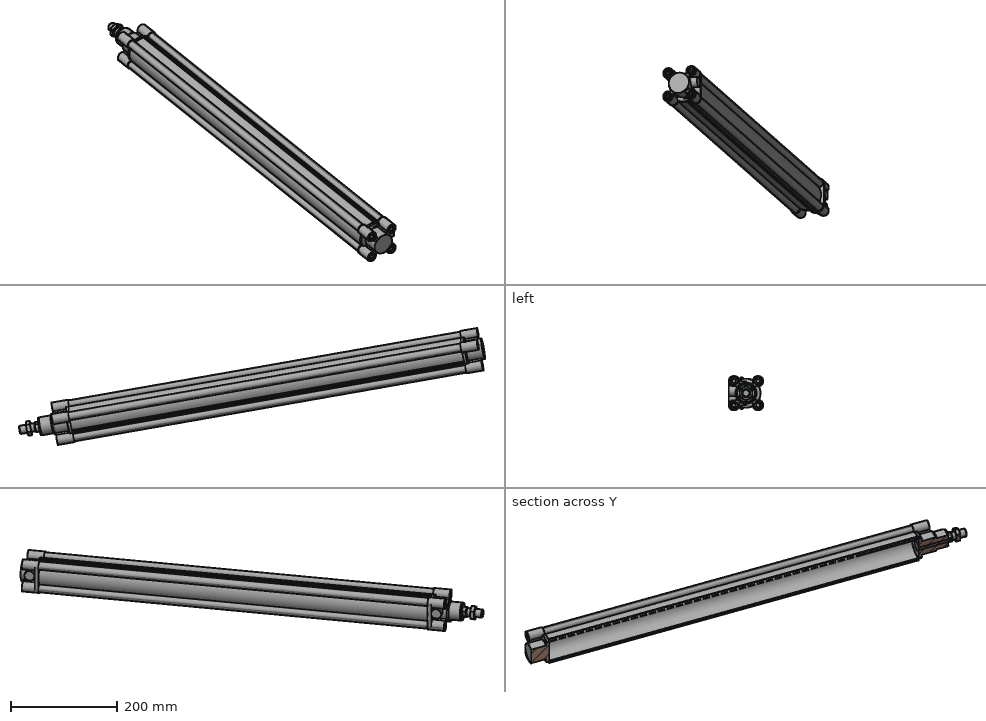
import cadquery as cq
import math

total_length = 889.0
square_side = 65.0
half_side = square_side / 2

thread_diameter = 16.0
rod_diameter = 20.0
thread_length = 29.0
thread_chamfer = 2.0
rod_chamfer = (rod_diameter - thread_diameter) / 2
wrench_flat_width = 17.0
wrench_flat_start = 32.0
wrench_flat_length = 4.5

nut_start = 14.0
nut_thickness = 8.0
nut_sides = 6
nut_across_flats = 24.0
nut_chamfer_angle = 30

cap_length = 32.0
front_cap_start = 68.0
rear_pilot_length = 5.0
front_cap_end = front_cap_start + cap_length
rear_cap_end = total_length - rear_pilot_length
rear_cap_start = rear_cap_end - cap_length
post_diameter = 20.0
post_offset = half_side - post_diameter / 2
hub_diameter = 40.0
hub_length = 25.0
web_width = 9.0
flange_diameter = 55.0
flange_slope_height = 2.0
flange_face = hub_length + flange_slope_height
collar_diameter = 35.0
collar_start = 38.0
collar_taper_length = 3.0
collar_taper_depth = 1.0
pilot_start = 62.0
pilot_chamfer = (hub_diameter - collar_diameter) / 2
boss_diameter = 20.0
boss_offset_z = 4.5
boss_offset_x = 15.0
screw_recess_diameter = 14.0
screw_recess_depth = 1.0
screw_hole_diameter = 7.4
screw_hole_depth = 13.0

barrel_diameter = flange_diameter
bore_diameter = 50.0
lobe_side = 31.0
lobe_corner_radius = 8.45
lobe_flank_radius = 7.0
rail_foot = (4.0, 26.0)
rail_ridge = (7.0, 30.0)
rail_tip = (11.0, 29.0)
rail_wall = 1.3


def cylinder(start, length, diameter):
    """Solid cylinder on the X axis."""
    return cq.Workplane("YZ").workplane(offset=start).circle(diameter / 2).extrude(length)


def corner_points(offset):
    return [(y * offset, z * offset) for y in (-1, 1) for z in (-1, 1)]


def make_rod():
    thread = cylinder(0, thread_length, thread_diameter).faces("<X").chamfer(thread_chamfer)
    shank = cylinder(thread_length, front_cap_end - thread_length, rod_diameter)
    shank = shank.faces("<X").chamfer(rod_chamfer)
    for side in (-1, 1):
        flat = cq.Workplane("XY").box(wrench_flat_length, rod_diameter, rod_diameter).translate((
            wrench_flat_start + wrench_flat_length / 2,
            side * (wrench_flat_width + rod_diameter) / 2,
            0,
        ))
        shank = shank.cut(flat)
    return thread.union(shank)


def make_nut():
    across_corners = nut_across_flats / math.cos(math.pi / nut_sides)
    corner_drop = (across_corners - nut_across_flats) / 2 * math.tan(math.radians(nut_chamfer_angle))
    hexagon = (
        cq.Workplane("YZ").workplane(offset=nut_start)
        .polygon(nut_sides, across_corners).extrude(nut_thickness)
        .rotate((0, 0, 0), (1, 0, 0), 90)
    )
    blank = (
        cq.Workplane("XY").moveTo(nut_start, 0)
        .lineTo(nut_start, nut_across_flats / 2)
        .lineTo(nut_start + corner_drop, across_corners / 2)
        .lineTo(nut_start + nut_thickness - corner_drop, across_corners / 2)
        .lineTo(nut_start + nut_thickness, nut_across_flats / 2)
        .lineTo(nut_start + nut_thickness, 0)
        .close().revolve(360, (0, 0, 0), (1, 0, 0))
    )
    return hexagon.intersect(blank).cut(cylinder(nut_start, nut_thickness, thread_diameter))


def make_cap_block():
    """Cap with its outer face at x = 0 and its barrel face at x = cap_length."""
    turned = (
        cq.Workplane("XY").moveTo(0, 0)
        .lineTo(0, hub_diameter / 2)
        .lineTo(hub_length, hub_diameter / 2)
        .lineTo(flange_face, flange_diameter / 2)
        .lineTo(cap_length, flange_diameter / 2)
        .lineTo(cap_length, 0)
        .close().revolve(360, (0, 0, 0), (1, 0, 0))
    )
    side_plate = (
        cq.Workplane("XY")
        .box(cap_length - hub_length, half_side, 2 * post_offset, centered=(False, False, True))
        .translate((hub_length, 0, 0))
    )
    web = cq.Workplane("XY").box(
        cap_length, 2 * math.sqrt(2) * post_offset, web_width, centered=(False, True, True)
    )
    webs = web.rotate((0, 0, 0), (1, 0, 0), 45).union(web.rotate((0, 0, 0), (1, 0, 0), -45))
    posts = (
        cq.Workplane("YZ").pushPoints(corner_points(post_offset))
        .circle(post_diameter / 2).extrude(cap_length)
    )
    boss = (
        cq.Workplane("XZ").center(boss_offset_x, boss_offset_z)
        .circle(boss_diameter / 2).extrude(-half_side)
    )
    block = turned.union(side_plate).union(webs).union(posts).union(boss)
    recesses = (
        cq.Workplane("YZ").pushPoints(corner_points(post_offset))
        .circle(screw_recess_diameter / 2).extrude(screw_recess_depth)
    )
    holes = (
        cq.Workplane("YZ").pushPoints(corner_points(post_offset))
        .circle(screw_hole_diameter / 2).extrude(screw_hole_depth)
    )
    return block.cut(recesses).cut(holes)


def make_front_cap():
    block = make_cap_block().translate((front_cap_start, 0, 0))
    pilot = cylinder(pilot_start, front_cap_start - pilot_start, hub_diameter)
    pilot = pilot.faces("<X").chamfer(pilot_chamfer)
    collar = cylinder(collar_start, front_cap_start - collar_start, collar_diameter)
    collar = collar.faces("<X").edges().chamfer(collar_taper_length, collar_taper_depth)
    rod_bore = cylinder(collar_start, front_cap_end - collar_start, rod_diameter)
    return block.union(pilot).union(collar).cut(rod_bore)


def make_rear_cap():
    block = make_cap_block().mirror("YZ").translate((rear_cap_end, 0, 0))
    pilot = cylinder(rear_cap_end, rear_pilot_length, hub_diameter)
    return block.union(pilot)


def make_barrel():
    length = rear_cap_start - front_cap_end
    diagonal = math.sqrt(0.5)
    section = cq.Workplane("YZ").workplane(offset=front_cap_end)
    barrel = section.circle(barrel_diameter / 2).extrude(length)
    corner_center = lobe_side - lobe_corner_radius
    corner_middle = corner_center + lobe_corner_radius * diagonal
    flank_center = lobe_side - lobe_flank_radius
    flank_foot = corner_center - lobe_flank_radius
    flank_out = flank_center + lobe_flank_radius * diagonal
    flank_in = corner_center - lobe_flank_radius * diagonal
    lobe = (
        section.moveTo(flank_foot, flank_foot)
        .lineTo(flank_center, flank_foot)
        .threePointArc((flank_out, flank_in), (lobe_side, corner_center))
        .threePointArc((corner_middle, corner_middle), (corner_center, lobe_side))
        .threePointArc((flank_in, flank_out), (flank_foot, flank_center))
        .close().extrude(length)
    )
    for corner in range(4):
        barrel = barrel.union(lobe.rotate((0, 0, 0), (1, 0, 0), 90 * corner))
    foot_y, foot_z = rail_foot
    ridge_y, ridge_z = rail_ridge
    tip_y, tip_z = rail_tip
    rail = (
        section.moveTo(foot_y, foot_z)
        .lineTo(ridge_y, ridge_z)
        .lineTo(tip_y, tip_z)
        .lineTo(tip_y, tip_z - rail_wall)
        .lineTo(ridge_y, ridge_z - rail_wall)
        .lineTo(foot_y + rail_wall, foot_z)
        .close().extrude(length)
    )
    barrel = barrel.union(rail).union(rail.mirror("XY"))
    return barrel.cut(cylinder(front_cap_end, length, bore_diameter))


rod = make_rod()
nut = make_nut()
front_cap = make_front_cap()
barrel = make_barrel()
rear_cap = make_rear_cap()

result = cq.Compound.makeCompound(
    [rod.val(), nut.val(), front_cap.val(), barrel.val(), rear_cap.val()]
)